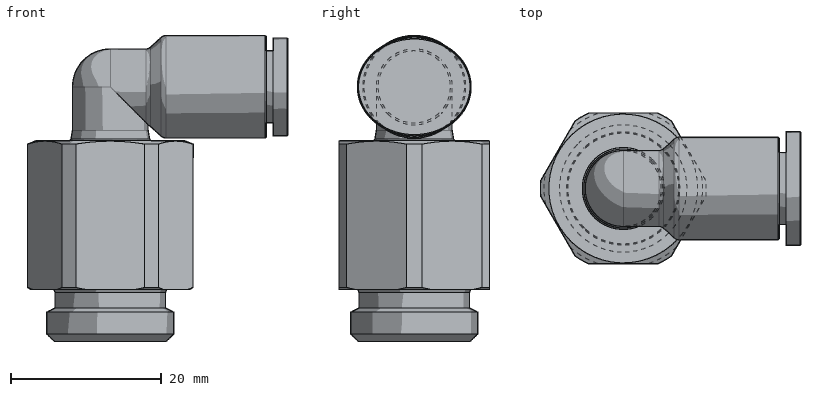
import cadquery as cq
import math

plug_radius = 8.45
plug_bottom_radius = 7.4
plug_chamfer_height = 1.0
plug_shoulder_z = 3.9
neck_radius = 7.35
neck_bottom_z = 4.45
neck_flare_z = 6.55
neck_flare_radius = 7.5

hex_sides = 6
hex_across_flats = 20.0
hex_corner_radius = 11.0
hex_bottom_z = 6.9
hex_top_z = 26.65
hex_top_face_radius = 9.85
hex_top_chamfer_height = 0.45
hex_bottom_face_radius = 10.5
hex_bottom_chamfer_height = 0.3

stem_radius = 5.05
stem_foot_radius = 5.25
stem_foot_ring_radius = 5.45
stem_foot_z = 26.85
stem_foot_top_z = 28.0

total_height = 40.6
barrel_radius = 6.82
branch_z = total_height - barrel_radius
cone_start_x = 5.08
cone_end_x = 7.02
barrel_end_x = 20.7
shank_fillet = 0.8
shoulder_fillet = 1.0
barrel_end_chamfer = 0.15

collar_neck_radius = 4.8
collar_start_x = 21.6
collar_end_x = 23.6
collar_half_width = 7.55
collar_half_height = 6.5
collar_end_chamfer = 0.15


def turned(profile):
    """Solid of revolution about Z from (radius, z) points, closed along the axis."""
    bottom_z = profile[0][1]
    top_z = profile[-1][1]
    outline = [(0, bottom_z)] + profile + [(0, top_z)]
    return cq.Workplane("XZ").polyline(outline).close().revolve(360, (0, 0), (0, 1))


def make_plug():
    """Chamfered plug with a narrower neck that flares out under the hexagon."""
    return turned([
        (plug_bottom_radius, 0),
        (plug_radius, plug_chamfer_height),
        (plug_radius, plug_shoulder_z),
        (neck_radius, neck_bottom_z),
        (neck_radius, neck_flare_z),
        (neck_flare_radius, hex_bottom_z),
    ])


def make_hexagon():
    """Hexagon with flats facing +Y and -Y, its corners turned round and chamfered at both ends."""
    sharp_corner_diameter = hex_across_flats / math.cos(math.pi / hex_sides)
    prism = (
        cq.Workplane("XY", origin=(0, 0, hex_bottom_z))
        .polygon(hex_sides, sharp_corner_diameter)
        .extrude(hex_top_z - hex_bottom_z)
    )
    turned_blank = turned([
        (hex_bottom_face_radius, hex_bottom_z),
        (hex_corner_radius, hex_bottom_z + hex_bottom_chamfer_height),
        (hex_corner_radius, hex_top_z - hex_top_chamfer_height),
        (hex_top_face_radius, hex_top_z),
    ])
    return prism.intersect(turned_blank)


def make_stem():
    """Upright stem with a slightly wider foot and a ball of the same radius as its elbow."""
    post = turned([
        (stem_foot_ring_radius, hex_top_z),
        (stem_foot_radius, stem_foot_z),
        (stem_radius, stem_foot_top_z),
        (stem_radius, branch_z),
    ])
    elbow = cq.Workplane("XY", origin=(0, 0, branch_z)).sphere(stem_radius)
    return post.union(elbow)


def circle_at(x):
    """Selector for the circular edge centred on the branch axis at this X."""
    reach = 0.05
    return cq.selectors.BoxSelector(
        (x - reach, -reach, branch_z - reach), (x + reach, reach, branch_z + reach)
    )


def make_branch():
    """Shank, blended cone and barrel, turned about the branch axis."""
    body = (
        cq.Workplane("XZ", origin=(0, 0, branch_z))
        .polyline([
            (0, 0),
            (0, stem_radius),
            (cone_start_x, stem_radius),
            (cone_end_x, barrel_radius),
            (barrel_end_x, barrel_radius),
            (barrel_end_x, 0),
        ])
        .close()
        .revolve(360, (0, 0), (1, 0))
    )
    body = body.edges(circle_at(cone_start_x)).fillet(shank_fillet)
    body = body.edges(circle_at(cone_end_x)).fillet(shoulder_fillet)
    return body.faces(">X").edges().chamfer(barrel_end_chamfer)


def make_release_collar():
    """Elliptical release collar on a short round neck at the end of the barrel."""
    neck = (
        cq.Workplane("YZ", origin=(barrel_end_x, 0, branch_z))
        .circle(collar_neck_radius)
        .extrude(collar_start_x - barrel_end_x)
    )
    collar = (
        cq.Workplane("YZ", origin=(collar_start_x, 0, branch_z))
        .ellipse(collar_half_width, collar_half_height)
        .extrude(collar_end_x - collar_start_x)
        .faces(">X")
        .edges()
        .chamfer(collar_end_chamfer)
    )
    return neck.union(collar)


result = (
    make_plug()
    .union(make_hexagon())
    .union(make_stem())
    .union(make_branch())
    .union(make_release_collar())
)